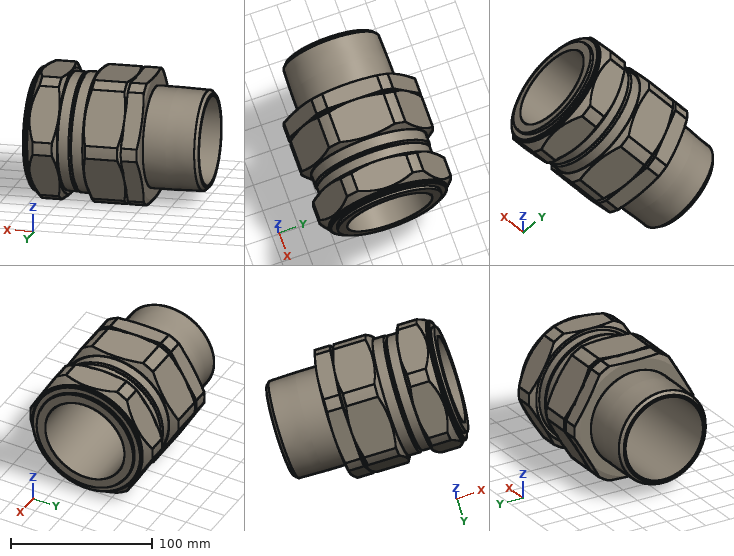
import cadquery as cq
import math

across_flats = 90.0
corner_radius = 49.475
flat_radius = across_flats / 2
across_corners = across_flats / math.cos(math.radians(30))
corner_height = corner_radius - flat_radius

taper_start = 2.6
taper_end = 23.1
collar_start = 40.0
body_start = 52.8
body_end = 82.4
groove_start = 90.6
groove_bottom = 91.6
groove_end = 92.7
nut_start = 100.6
nut_end = 122.4
lip_edge = 123.6
lip_end = 124.6
overall_length = 126.9

bore_radius = 32.0
tip_radius = 33.5
taper_small_radius = 36.0
male_radius = 36.5
body_neck_radius = 43.2
groove_radius = 40.8
nut_neck_radius = 42.6
lip_radius = 44.3
end_ring_radius = 39.0

collar_chamfer = 1.2
hex_chamfer = corner_height * math.tan(math.radians(30))
body_end_radius = 43.6
body_end_chamfer = (corner_radius - body_end_radius) * math.tan(math.radians(30))
nut_end_chamfer = corner_radius - lip_radius
lip_chamfer = lip_end - lip_edge


def revolve_profile(points):
    """Solid of revolution about X; points are (x, radius) from left to right."""
    start = (points[0][0], 0)
    end = (points[-1][0], 0)
    outline = cq.Workplane("XZ").polyline([start] + points + [end]).close()
    return outline.revolve(360, (0, 0, 0), (1, 0, 0))


def chamfered_hexagon(start, end, start_radius, start_chamfer, end_radius, end_chamfer):
    """Hexagonal section with corners on +-Y, rounded and chamfered by a turned envelope."""
    envelope_points = [(start, start_radius), (start + start_chamfer, corner_radius)]
    envelope_points.append((end - end_chamfer, corner_radius))
    if end_chamfer > 0:
        envelope_points.append((end, end_radius))
    prism = (
        cq.Workplane("YZ", origin=(start, 0, 0))
        .polygon(6, across_corners)
        .extrude(end - start)
    )
    return prism.intersect(revolve_profile(envelope_points))


def turned_core():
    """Round sections: tapered male end, necks with the V groove, lip and end ring."""
    return revolve_profile([
        (0, tip_radius),
        (taper_start, taper_small_radius),
        (taper_end, male_radius),
        (body_end, male_radius),
        (body_end, body_neck_radius),
        (groove_start, body_neck_radius),
        (groove_bottom, groove_radius),
        (groove_end, nut_neck_radius),
        (nut_end, nut_neck_radius),
        (nut_end, lip_radius),
        (lip_edge, lip_radius),
        (lip_end, lip_radius - lip_chamfer),
        (lip_end, end_ring_radius),
        (overall_length, end_ring_radius),
    ])


def bore():
    """Straight hole through the full length."""
    return cq.Workplane("YZ").circle(bore_radius).extrude(overall_length)


collar = chamfered_hexagon(collar_start, body_start, flat_radius, collar_chamfer, corner_radius, 0)
body = chamfered_hexagon(
    body_start, body_end, flat_radius, hex_chamfer, body_end_radius, body_end_chamfer
)
nut = chamfered_hexagon(nut_start, nut_end, flat_radius, hex_chamfer, lip_radius, nut_end_chamfer)

result = turned_core().union(collar).union(body).union(nut).cut(bore())